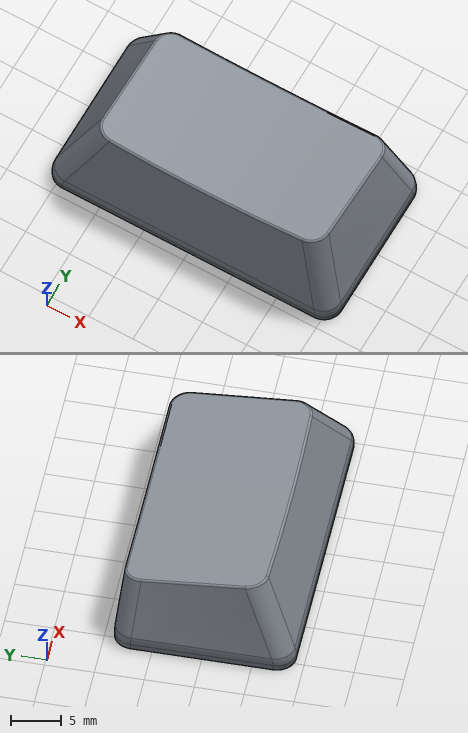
import cadquery as cq
import math

length = 32.45
width = 18.17
corner_radius = 1.95
skirt_height = 0.62

shoulder_height = 0.75
wall_lean = 27.7
back_lean = 4.5
shoulder_steps = 4

crown_half_length = 12.55
crown_front_y = -5.32
crown_back_y = 8.65
crown_front_height = 8.05
top_tilt = 6.2

dish_radius = 194.7
dish_front_height = 7.27
dish_overrun = 12.98
rim_radius = 0.25


def rounded_outline(plane, size_x, size_y):
    """Closed rectangle with rounded corners, centred on a plane."""
    outline = cq.Workplane(plane).rect(size_x, size_y).val()
    return outline.fillet2D(corner_radius, outline.Vertices())


def tilted_plane(front_height, distance_back=0.0):
    """Plane falling toward +Y, placed along the slope from the crown's front edge."""
    angle = math.radians(top_tilt)
    origin = (
        0,
        crown_front_y + distance_back * math.cos(angle),
        front_height - distance_back * math.sin(angle),
    )
    normal = (0, math.sin(angle), math.cos(angle))
    return cq.Plane(origin=origin, xDir=(1, 0, 0), normal=normal)


def arc_inset(rise, lean):
    """Inward drift of an arc that starts vertical and leans over across the shoulder."""
    radius = shoulder_height / math.sin(math.radians(lean))
    return radius - math.sqrt(radius**2 - rise**2)


def shoulder_outline(rise):
    """Level outline at a given rise above the skirt."""
    side_inset = arc_inset(rise, wall_lean)
    back_inset = arc_inset(rise, back_lean)
    center_y = (side_inset - back_inset) / 2
    return rounded_outline(
        cq.Plane(origin=(0, center_y, skirt_height + rise)),
        length - 2 * side_inset,
        width - side_inset - back_inset,
    )


def crown_outline():
    """Tilted outline at the head of the walls."""
    depth = (crown_back_y - crown_front_y) / math.cos(math.radians(top_tilt))
    plane = tilted_plane(crown_front_height, depth / 2)
    return rounded_outline(plane, 2 * crown_half_length, depth)


def make_body():
    """Vertical skirt, curved shoulder and straight tapered walls."""
    base = rounded_outline(cq.Plane.XY(), length, width)
    rises = [shoulder_height * step / shoulder_steps for step in range(shoulder_steps + 1)]
    rings = [shoulder_outline(rise) for rise in rises]
    skirt = cq.Solid.makeLoft([base, rings[0]], True)
    shoulder = cq.Solid.makeLoft(rings)
    walls = cq.Solid.makeLoft([rings[-1], crown_outline()], True)
    return cq.Workplane(skirt).union(cq.Workplane(shoulder)).union(cq.Workplane(walls))


def make_dish():
    """Large cylinder whose lowest line follows the tilted top."""
    plane = tilted_plane(dish_front_height)
    start = plane.toWorldCoords((0, -dish_overrun, dish_radius))
    cutter_length = crown_back_y - crown_front_y + 2 * dish_overrun
    return cq.Workplane(cq.Solid.makeCylinder(dish_radius, cutter_length, start, plane.yDir))


def round_rim(body):
    """Soften the edge around the dished top."""
    return body.faces("%CYLINDER").faces(">Z").edges().fillet(rim_radius)


dished = make_body().cut(make_dish())
result = round_rim(dished)